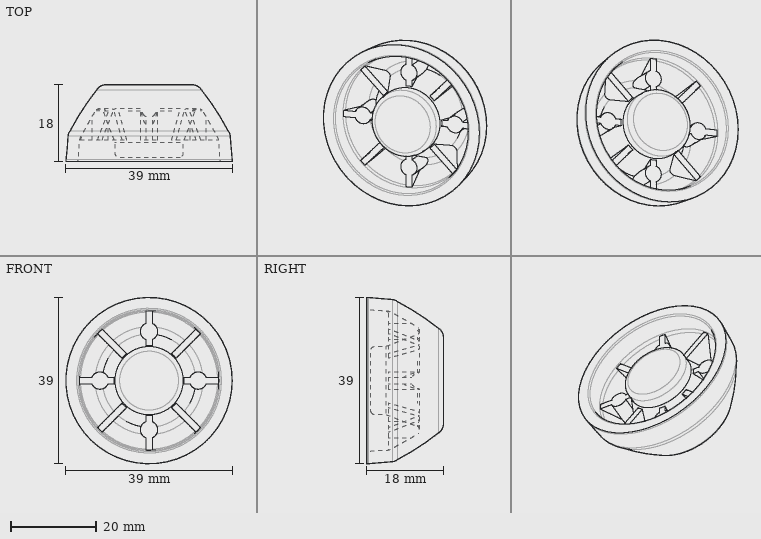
import cadquery as cq
import math

rim_radius = 19.5
height = 18.0
rim_land = 0.45
skirt_top = (19.05, 6.0)
shoulder_mid = (18.88, 6.65)
dome_start = (18.52, 7.2)
dome_mid = (15.68, 12.1)
dome_end = (12.3, 16.8)
crown_mid = (11.45, 17.63)
crown_radius = 10.2

mouth_radius = 16.95
lip_round = 0.35
lip_radius = mouth_radius - lip_round
drum_end = (16.35, 4.68)
drum_corner_mid = (16.25, 5.2)
wall_start = (16.05, 5.7)
wall_end = (12.65, 11.9)
hub_root = (10.92, 11.9)
groove_depth = 0.5

hub_face_y = 0.9
hub_face_radius = 6.9
hub_round = 1.1
hub_radius = hub_face_radius + hub_round
hub_straight_end = 4.5

rib_face_y = 5.07
rib_width = 1.52
rib_count = 8
post_count = 4
post_radius = 2.03
post_circle_radius = 11.5

diagonal = math.sqrt(0.5)


def make_envelope():
    """Outer solid, revolved about the Y axis."""
    return (
        cq.Workplane("XY")
        .lineTo(rim_radius, 0)
        .lineTo(rim_radius, rim_land)
        .lineTo(*skirt_top)
        .threePointArc(shoulder_mid, dome_start)
        .threePointArc(dome_mid, dome_end)
        .threePointArc(crown_mid, (crown_radius, height))
        .lineTo(0, height)
        .close()
        .revolve(360, (0, 0, 0), (0, 1, 0))
    )


def make_pocket():
    """Empty space between the outer wall and the hub, including in front of the hub face."""
    lip_mid = (mouth_radius - lip_round * diagonal, lip_round * (1 - diagonal))
    groove_mid = ((wall_end[0] + hub_root[0]) / 2, wall_end[1] + groove_depth)
    hub_round_mid = (
        hub_face_radius + hub_round * diagonal,
        hub_face_y + hub_round * (1 - diagonal),
    )
    return (
        cq.Workplane("XY")
        .lineTo(mouth_radius, 0)
        .threePointArc(lip_mid, (lip_radius, lip_round))
        .lineTo(*drum_end)
        .threePointArc(drum_corner_mid, wall_start)
        .lineTo(*wall_end)
        .threePointArc(groove_mid, hub_root)
        .lineTo(hub_radius, hub_straight_end)
        .lineTo(hub_radius, hub_face_y + hub_round)
        .threePointArc(hub_round_mid, (hub_face_radius, hub_face_y))
        .lineTo(0, hub_face_y)
        .close()
        .revolve(360, (0, 0, 0), (0, 1, 0))
    )


def make_ribs():
    """Radial ribs and round posts, oversized so that the pocket walls trim them."""
    depth = height - rib_face_y
    face = cq.Workplane("XZ", origin=(0, rib_face_y, 0))
    ribs = (
        face.polarArray(rim_radius / 2, 0, 360, rib_count)
        .rect(rim_radius, rib_width)
        .extrude(-depth)
    )
    posts = (
        face.polarArray(post_circle_radius, 0, 360, post_count)
        .circle(post_radius)
        .extrude(-depth)
    )
    return ribs.union(posts)


result = make_envelope().cut(make_pocket().cut(make_ribs()))